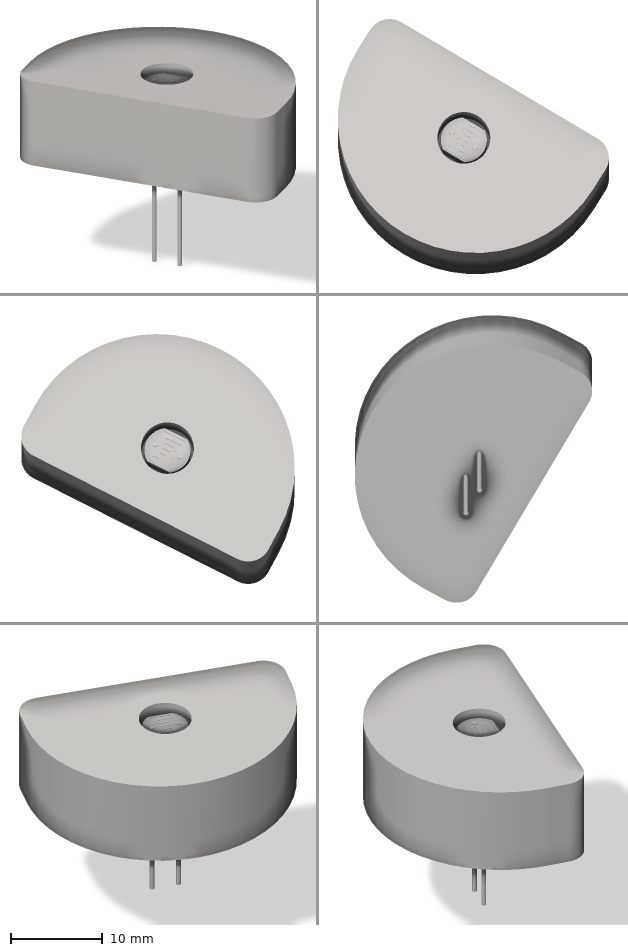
import cadquery as cq
import math

housing_radius = 15.0
housing_height = 10.0
front_y = -5.0
corner_radius = 2.5

sensor_y = 2.5
sensor_diameter = 5.0
sensor_width_over_flats = 4.17
sensor_thickness = 2.0
sensor_recess = 1.0
sensor_top = housing_height - sensor_recess
sensor_bottom = sensor_top - sensor_thickness
bore_diameter = 5.75

lead_diameter = 0.5
lead_spacing = 3.0
lead_length_below_housing = 12.5
lead_tip_height = 0.1
lead_points = [(-lead_spacing / 2, sensor_y), (lead_spacing / 2, sensor_y)]

track_width = 0.12
track_height = 0.05
track_pitch = 0.6
track_inner_reach = 0.72
track_outer_reach = 1.15
track_end_reach = 1.25


def make_leads(bottom, top):
    """Both lead cylinders between two heights."""
    return (
        cq.Workplane("XY", origin=(0, 0, bottom))
        .pushPoints(lead_points)
        .circle(lead_diameter / 2)
        .extrude(top - bottom)
    )


def make_housing():
    """D-shaped block with a stepped bore for the sensor and its leads."""
    corner_y = front_y + corner_radius
    corner_x = housing_radius - corner_radius
    corner_inset = corner_radius * (1 - math.sqrt(0.5))
    corner_mid_x = housing_radius - corner_inset
    corner_mid_y = front_y + corner_inset
    block = (
        cq.Workplane("XY")
        .moveTo(-corner_x, front_y)
        .lineTo(corner_x, front_y)
        .threePointArc((corner_mid_x, corner_mid_y), (housing_radius, corner_y))
        .lineTo(housing_radius, 0)
        .threePointArc((0, housing_radius), (-housing_radius, 0))
        .lineTo(-housing_radius, corner_y)
        .threePointArc((-corner_mid_x, corner_mid_y), (-corner_x, front_y))
        .close()
        .extrude(housing_height)
    )
    bore = (
        cq.Workplane("XY", origin=(0, sensor_y, sensor_bottom))
        .circle(bore_diameter / 2)
        .extrude(housing_height - sensor_bottom)
    )
    return block.cut(bore).cut(make_leads(0, sensor_bottom))


def make_sensor():
    """Disc with two flats, in one piece with its leads."""
    base = cq.Workplane("XY", origin=(0, sensor_y, sensor_bottom))
    disc = base.circle(sensor_diameter / 2).extrude(sensor_thickness)
    flats = base.rect(sensor_diameter, sensor_width_over_flats).extrude(sensor_thickness)
    leads = make_leads(-lead_length_below_housing, sensor_top + lead_tip_height)
    return disc.intersect(flats).union(leads)


def make_track():
    """Seven straight runs, one pitch apart, joined at alternating ends."""
    turns = [
        track_outer_reach,
        -track_inner_reach,
        track_inner_reach,
        -track_inner_reach,
        track_inner_reach,
        -track_outer_reach,
    ]
    top_run_y = len(turns) * track_pitch / 2
    points = [(-track_end_reach, top_run_y)]
    for run, turn_x in enumerate(turns):
        run_y = top_run_y - run * track_pitch
        points.append((turn_x, run_y))
        points.append((turn_x, run_y - track_pitch))
    points.append((track_end_reach, -top_run_y))

    path = cq.Workplane("XY", origin=(0, sensor_y, sensor_top)).polyline(points)
    start = cq.Plane(
        origin=(-track_end_reach, sensor_y + top_run_y, sensor_top),
        xDir=(0, 1, 0),
        normal=(1, 0, 0),
    )
    return (
        cq.Workplane(start)
        .center(0, track_height / 2)
        .rect(track_width, track_height)
        .sweep(path, transition="right")
    )


housing = make_housing()
sensor = make_sensor()
track = make_track()

result = cq.Compound.makeCompound([housing.solids().val(), sensor.solids().val(), track.solids().val()])